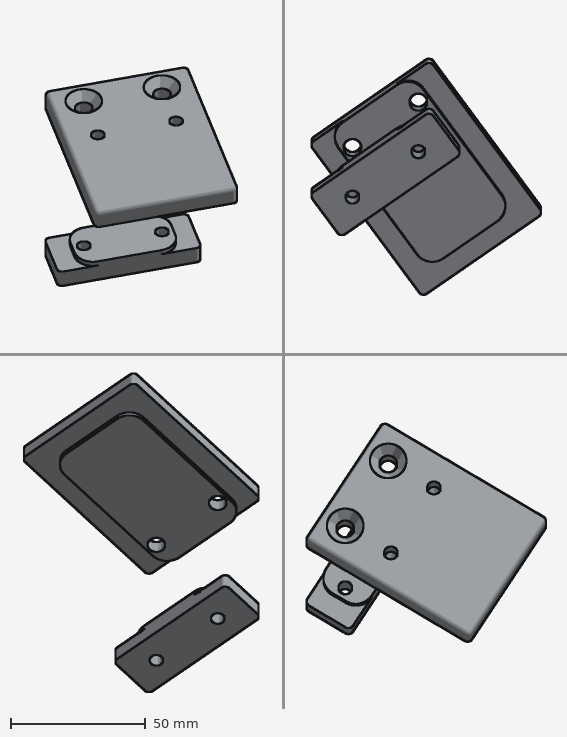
import cadquery as cq
import math

plate_length = 72.0
body_width = 55.0
top_z = 79.6
block_length = 20.0
edge_radius = 2.0

plate_thickness = 7.7
plate_pad_height = 1.8
block_thickness = 7.0
block_pad_height = 2.0
plate_bottom_z = top_z - plate_thickness

pad_length = 64.15
pad_width = 38.7
pad_corner_radius = 7.0

hole_spacing = 30.0
screw_x = block_length / 2
blind_hole_x = 1.5 * block_length
clearance_diameter = 6.5
countersink_diameter = 13.5
countersink_angle = 90
block_hole_diameter = 5.0
blind_hole_diameter = 5.0
blind_hole_depth = 6.0
drill_tip_angle = 118


def rounded_slab(length, width, thickness, radius, bottom_z):
    """Slab with rounded vertical edges, from X = 0 and centred on Y."""
    return (
        cq.Workplane("XY", origin=(0, 0, bottom_z))
        .box(length, width, thickness, centered=(False, True, False))
        .edges("|Z")
        .fillet(radius)
    )


def hole_pair(x):
    """Centres of two holes placed symmetrically about the X axis."""
    return [(x, -hole_spacing / 2), (x, hole_spacing / 2)]


def blind_drill():
    """Cutting solid for one drilled hole: a cylinder with a conical tip, opening at the plate top."""
    radius = blind_hole_diameter / 2
    tip_length = radius / math.tan(math.radians(drill_tip_angle / 2))
    return (
        cq.Workplane("XZ")
        .polyline([
            (0, 0),
            (radius, 0),
            (radius, -blind_hole_depth),
            (0, -blind_hole_depth - tip_length),
        ])
        .close()
        .revolve(360, (0, 0, 0), (0, 1, 0))
    )


def make_cover_plate():
    """Plate with rounded top edges, a pad below, countersunk screw holes and blind holes."""
    plate = rounded_slab(plate_length, body_width, plate_thickness, edge_radius, plate_bottom_z)
    plate = plate.faces(">Z").edges().fillet(edge_radius)
    pad = rounded_slab(
        pad_length, pad_width, plate_pad_height, pad_corner_radius, plate_bottom_z - plate_pad_height
    )
    plate = plate.union(pad)
    plate = (
        plate.faces(">Z")
        .workplane(origin=(0, 0, top_z))
        .pushPoints(hole_pair(screw_x))
        .cskHole(clearance_diameter, countersink_diameter, countersink_angle)
    )
    for x, y in hole_pair(blind_hole_x):
        plate = plate.cut(blind_drill().translate((x, y, top_z)))
    return plate


def make_clamp_block():
    """Block with a pad on top and two plain through holes in line with the plate's screw holes."""
    block = rounded_slab(block_length, body_width, block_thickness, edge_radius, 0)
    pad = rounded_slab(block_length, pad_width, block_pad_height, pad_corner_radius, block_thickness)
    block = block.union(pad)
    return (
        block.faces(">Z")
        .workplane(origin=(0, 0, 0))
        .pushPoints(hole_pair(screw_x))
        .hole(block_hole_diameter)
    )


cover_plate = make_cover_plate()
clamp_block = make_clamp_block()

result = cq.Compound.makeCompound([cover_plate.solids().val(), clamp_block.solids().val()])